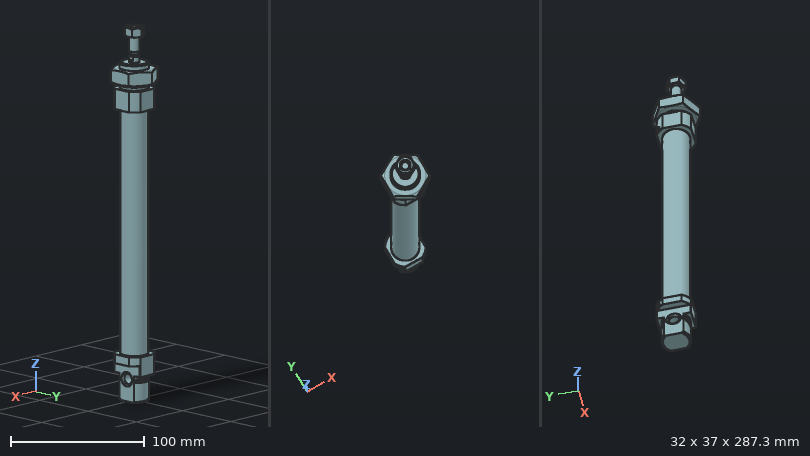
import cadquery as cq
import math

TOTAL_HEIGHT = 287.3
CLEVIS_GROOVE_BOTTOM = 15.5
PIN_HOLE_Z = 17.2
REAR_TONGUE_BOTTOM = 20.7
REAR_SHELF_Z = 29.3
REAR_CAP_TOP = 36.2
FRONT_CAP_BOTTOM = 224.7
FRONT_CAP_TOP = 240.5
NOSE_GROOVE_BOTTOM = 242.8
MOUNT_NUT_BOTTOM = 244.8
NOSE_TOP = 260.3
ROD_FLATS_BOTTOM = 262.0
ROD_SHOULDER_Z = 264.5
ROD_SHOULDER_TOP = 265.2
THREAD_BOTTOM = 268.7

TUBE_DIAMETER = 21.3
NOSE_DIAMETER = 22.0
GROOVE_DIAMETER = 20.5
NOSE_GROOVE_HEIGHT = MOUNT_NUT_BOTTOM - NOSE_GROOVE_BOTTOM
CLEVIS_GROOVE_HEIGHT = 2.5
END_CHAMFER = 1.0
CAP_DIAMETER = 30.5
CAP_ACROSS_FLATS = 26.7
CLEVIS_THICKNESS = 16.0
PIN_HOLE_DIAMETER = 8.0
PIN_HOLE_CHAMFER = 1.5
PORT_DIAMETER = 5.0
PORT_DEPTH = 4.0
PORT_ANGLE = 128.0
FRONT_PORT_Z = 228.0
REAR_PORT_Z = 32.8

ROD_DIAMETER = 8.0
ROD_CORE_DIAMETER = 6.0
ROD_NECK_HEIGHT = 1.1
ROD_ACROSS_FLATS = 7.0
ROD_TIP_RECESS = 2.3

MOUNT_NUT_ACROSS_FLATS = 32.0
MOUNT_NUT_HEIGHT = 11.0
ROD_NUT_ACROSS_FLATS = 13.0
ROD_NUT_HEIGHT = 7.2
NUT_FACE_RATIO = 0.97
MOUNT_NUT_CHAMFER_ANGLE = 15.0
ROD_NUT_CHAMFER_ANGLE = 30.0
HEXAGON_TURN = 30.0


def cylinder(diameter, bottom, top):
    """A cylinder on the Z axis between two heights."""
    return cq.Workplane("XY").workplane(offset=bottom).circle(diameter / 2).extrude(top - bottom)


def cap_block(bottom, top):
    """A round cap with four flats."""
    square = (
        cq.Workplane("XY")
        .workplane(offset=bottom)
        .rect(CAP_ACROSS_FLATS, CAP_ACROSS_FLATS)
        .extrude(top - bottom)
    )
    return square.intersect(cylinder(CAP_DIAMETER, bottom, top))


def ring_groove(bottom, height):
    """The ring to cut away for a groove whose two sides slope at 45 degrees."""
    outer = NOSE_DIAMETER / 2
    floor = GROOVE_DIAMETER / 2
    slope = outer - floor
    top = bottom + height
    return (
        cq.Workplane("XZ")
        .polyline([(outer, bottom), (floor, bottom + slope), (floor, top - slope), (outer, top)])
        .close()
        .revolve(360, (0, 0, 0), (0, 1, 0))
    )


def port(height):
    """A radial port bore on the rounded corner between two flats."""
    angle = math.radians(PORT_ANGLE)
    outward = cq.Vector(math.cos(angle), math.sin(angle), 0)
    start = outward * (CAP_DIAMETER / 2 - PORT_DEPTH) + cq.Vector(0, 0, height)
    return cq.Workplane(cq.Solid.makeCylinder(PORT_DIAMETER / 2, 2 * PORT_DEPTH, start, outward))


def clevis_slab():
    """The slab that bounds the clevis between its two flat sides."""
    return cq.Workplane("XY").box(
        CLEVIS_THICKNESS, CAP_DIAMETER, REAR_SHELF_Z, centered=(True, True, False)
    )


def pin_hole():
    """The cross hole along X, with a conical countersink at each clevis face."""
    half = CLEVIS_THICKNESS / 2
    bore = PIN_HOLE_DIAMETER / 2
    mouth = bore + PIN_HOLE_CHAMFER
    return (
        cq.Workplane("XY")
        .polyline(
            [
                (-half, 0),
                (-half, mouth),
                (-half + PIN_HOLE_CHAMFER, bore),
                (half - PIN_HOLE_CHAMFER, bore),
                (half, mouth),
                (half, 0),
            ]
        )
        .close()
        .revolve(360, (0, 0, 0), (1, 0, 0))
        .translate((0, 0, PIN_HOLE_Z))
    )


def make_housing():
    """Rear clevis and cap, tube, front cap and threaded nose as one solid."""
    clevis = (
        cylinder(NOSE_DIAMETER, 0, REAR_SHELF_Z)
        .faces("<Z")
        .chamfer(END_CHAMFER)
        .cut(ring_groove(CLEVIS_GROOVE_BOTTOM, CLEVIS_GROOVE_HEIGHT))
        .union(cap_block(REAR_TONGUE_BOTTOM, REAR_SHELF_Z))
        .intersect(clevis_slab())
        .cut(pin_hole())
    )
    nose = (
        cylinder(NOSE_DIAMETER, FRONT_CAP_TOP, NOSE_TOP)
        .faces(">Z")
        .chamfer(END_CHAMFER)
        .cut(ring_groove(NOSE_GROOVE_BOTTOM, NOSE_GROOVE_HEIGHT))
    )
    return (
        clevis.union(cap_block(REAR_SHELF_Z, REAR_CAP_TOP))
        .union(cylinder(TUBE_DIAMETER, REAR_CAP_TOP, FRONT_CAP_BOTTOM))
        .union(cap_block(FRONT_CAP_BOTTOM, FRONT_CAP_TOP))
        .union(nose)
        .cut(port(FRONT_PORT_Z))
        .cut(port(REAR_PORT_Z))
    )


def rod_flat(side):
    """The cut for the wrench flat facing +X (side = 1) or -X (side = -1)."""
    return (
        cq.Workplane("XY")
        .workplane(offset=ROD_FLATS_BOTTOM)
        .center(side * (ROD_ACROSS_FLATS + ROD_DIAMETER) / 2, 0)
        .rect(ROD_DIAMETER, ROD_DIAMETER)
        .extrude(ROD_SHOULDER_TOP - ROD_FLATS_BOTTOM)
    )


def make_rod():
    """The rod outside the housing: a shank with two flats, a thin neck and a threaded end."""
    full = ROD_DIAMETER / 2
    core = ROD_CORE_DIAMETER / 2
    tip = TOTAL_HEIGHT - ROD_TIP_RECESS
    rod = (
        cq.Workplane("XZ")
        .polyline(
            [
                (0, NOSE_TOP),
                (full, NOSE_TOP),
                (full, ROD_SHOULDER_Z),
                (core, ROD_SHOULDER_TOP),
                (core, ROD_SHOULDER_TOP + ROD_NECK_HEIGHT),
                (full, THREAD_BOTTOM),
                (full, tip - (full - core)),
                (core, tip),
                (0, tip),
            ]
        )
        .close()
        .revolve(360, (0, 0, 0), (0, 1, 0))
    )
    for side in (-1, 1):
        rod = rod.cut(rod_flat(side))
    return rod


def make_nut(across_flats, bore, bottom, height, chamfer_angle):
    """A hexagon nut with flats facing +X and -X and corners trimmed by a cone."""
    corner = across_flats / math.sqrt(3)
    hexagon = (
        cq.Workplane("XY")
        .polygon(6, 2 * corner)
        .extrude(height)
        .rotate((0, 0, 0), (0, 0, 1), HEXAGON_TURN)
    )
    face_radius = across_flats / 2 * NUT_FACE_RATIO
    drop = (corner - face_radius) * math.tan(math.radians(chamfer_angle))
    envelope = cq.Workplane("XZ").polyline(
        [
            (0, 0),
            (face_radius, 0),
            (corner, drop),
            (corner, height - drop),
            (face_radius, height),
            (0, height),
        ]
    )
    envelope = envelope.close().revolve(360, (0, 0, 0), (0, 1, 0))
    nut = hexagon.intersect(envelope).translate((0, 0, bottom))
    return nut.cut(cylinder(bore, bottom, bottom + height))


housing = make_housing()
rod = make_rod()
mount_nut = make_nut(
    MOUNT_NUT_ACROSS_FLATS, NOSE_DIAMETER, MOUNT_NUT_BOTTOM, MOUNT_NUT_HEIGHT, MOUNT_NUT_CHAMFER_ANGLE
)
rod_nut = make_nut(
    ROD_NUT_ACROSS_FLATS, ROD_DIAMETER, TOTAL_HEIGHT - ROD_NUT_HEIGHT, ROD_NUT_HEIGHT, ROD_NUT_CHAMFER_ANGLE
)

result = cq.Compound.makeCompound([housing.val(), rod.val(), mount_nut.val(), rod_nut.val()])